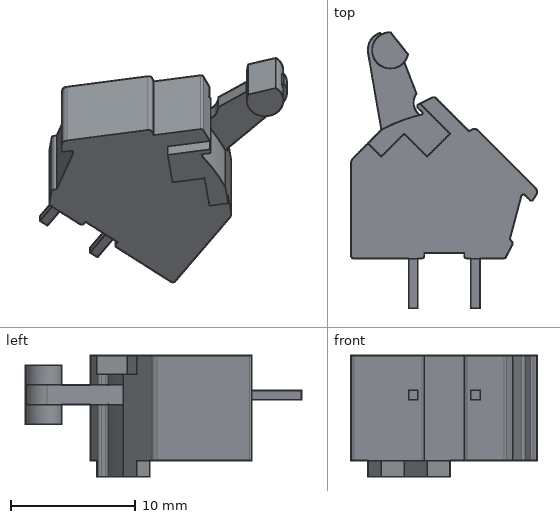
import cadquery as cq
import math

housing_height = 8.48
tab_height = 1.31
pocket_depth = 1.51
lever_bottom = 4.52
lever_thickness = 1.58
knob_height = 4.77

edge_radius = 0.22
small_radius = 0.18
tight_radius = 0.13
step_radius = 0.33
hook_radius = 0.45
left_side_top = 7.9
shoulder_radius = 0.53
lever_seat_left = (2.45, 10.38)
lever_seat_middle = (3.95, 11.07)
lever_seat_right = (5.57, 11.58)
foot_left = 5.92
foot_right = 9.13
foot_recess = 0.45
base_right = 12.45

zigzag_start = (2.45, 8.22)
zigzag_step = 1.85
zigzag_reach = 5.57

knob_center = (3.18, 16.8)
lever_end_center = (2.83, 16.81)
end_radius = 1.47
lever_lean = 10.0
lever_right_top = (4.35, 15.77)
lever_shoulder = (5.3, 13.3)
lever_neck = (5.08, 12.43)
lever_heel = (5.5, 11.62)
lever_root = (3.79, 9.8)
flat_start_angle = 90.0
flat_end_angle = -13.0
lever_tip_angle = 109.0

pin_size = 0.75
pin_length = 4.0
pin_embed = 1.34
pin_height = 5.28
first_pin = 5.03
pin_pitch = 5.0
pin_count = 2


def polar(center, radius, angle):
    """Point on a circle, with the angle in degrees from +X."""
    turn = math.radians(angle)
    return (center[0] + radius * math.cos(turn), center[1] + radius * math.sin(turn))


def add_rounded_corner(path, before, corner, after, radius):
    """Continue a path to a corner and round it with a tangent arc."""
    to_before = math.atan2(before[1] - corner[1], before[0] - corner[0])
    to_after = math.atan2(after[1] - corner[1], after[0] - corner[0])
    half_angle = math.acos(math.cos(to_after - to_before)) / 2
    setback = radius / math.tan(half_angle)
    arc_start = polar(corner, setback, math.degrees(to_before))
    arc_end = polar(corner, setback, math.degrees(to_after))
    bisector = math.atan2(
        math.sin(to_before) + math.sin(to_after),
        math.cos(to_before) + math.cos(to_after),
    )
    arc_middle = polar(corner, radius / math.sin(half_angle) - radius, math.degrees(bisector))
    return path.lineTo(*arc_start).threePointArc(arc_middle, arc_end)


def housing_prism(bottom, height):
    """Housing outline, counter-clockwise, with a curved seat under the lever."""
    corners = [
        (0, left_side_top, shoulder_radius),
        (0, 0, edge_radius),
        (foot_left, 0, edge_radius),
        (foot_left, foot_recess, 0),
        (foot_right, foot_recess, 0),
        (foot_right, 0, edge_radius),
        (base_right, 0, edge_radius),
        (13.1, 1.25, small_radius),
        (12.83, 1.55, 0),
        (13.83, 5.32, small_radius),
        (14.59, 4.57, tight_radius),
        (15.15, 5.43, hook_radius),
        (10.02, 10.55, step_radius),
        (9.53, 10.27, 0),
        (6.73, 13.07, edge_radius),
        (5.21, 12.32, small_radius),
        (5.92, 11.65, tight_radius),
    ]
    points = [lever_seat_left] + [corner[:2] for corner in corners] + [lever_seat_right]
    path = cq.Workplane("XY", origin=(0, 0, bottom)).moveTo(*lever_seat_left)
    for index, (x, y, radius) in enumerate(corners):
        if radius > 0:
            path = add_rounded_corner(path, points[index], (x, y), points[index + 2], radius)
        else:
            path = path.lineTo(x, y)
    path = path.lineTo(*lever_seat_right)
    return path.threePointArc(lever_seat_middle, lever_seat_left).close().extrude(height)


def zigzag_prism(bottom, height):
    """Zigzag region that runs out past the sloping edge of the housing."""
    x, y = zigzag_start
    region = [
        (x - zigzag_reach, y + zigzag_reach),
        (x, y),
        (x + zigzag_step, y + zigzag_step),
        (x + 2 * zigzag_step, y),
        (x + 3 * zigzag_step, y + zigzag_step),
        (x + 3 * zigzag_step - zigzag_reach, y + zigzag_step + zigzag_reach),
    ]
    return cq.Workplane("XY", origin=(0, 0, bottom)).polyline(region).close().extrude(height)


def lever():
    """Flat lever arm rooted inside the housing, with its round end cut by a slant."""
    left_tangent = polar(lever_end_center, end_radius, 180 + lever_lean)
    end_middle = polar(lever_end_center, end_radius, (lever_tip_angle + 180 + lever_lean) / 2)
    tip = polar(lever_end_center, end_radius, lever_tip_angle)
    return (
        cq.Workplane("XY", origin=(0, 0, lever_bottom))
        .moveTo(*lever_seat_left)
        .lineTo(*left_tangent)
        .threePointArc(end_middle, tip)
        .lineTo(*lever_right_top)
        .lineTo(*lever_shoulder)
        .threePointArc(lever_neck, lever_heel)
        .lineTo(*lever_root)
        .close()
        .extrude(lever_thickness)
    )


def knob():
    """Round knob with one flat, centred on the lever thickness."""
    bottom = lever_bottom + (lever_thickness - knob_height) / 2
    far_angle = (flat_start_angle + flat_end_angle) / 2 + 180
    return (
        cq.Workplane("XY", origin=(0, 0, bottom))
        .moveTo(*polar(knob_center, end_radius, flat_start_angle))
        .threePointArc(
            polar(knob_center, end_radius, far_angle),
            polar(knob_center, end_radius, flat_end_angle),
        )
        .close()
        .extrude(knob_height)
    )


def pin(x):
    """Square pin that sticks out of the -Y side and is embedded in the housing."""
    length = pin_length + pin_embed
    return cq.Workplane("XY").box(pin_size, length, pin_size).translate(
        (x, pin_embed - length / 2, pin_height)
    )


pocket = zigzag_prism(housing_height - pocket_depth, pocket_depth)
tab = housing_prism(-tab_height, tab_height).intersect(zigzag_prism(-tab_height, tab_height))

result = housing_prism(0, housing_height).cut(pocket).union(tab).union(lever()).union(knob())
for pin_index in range(pin_count):
    result = result.union(pin(first_pin + pin_index * pin_pitch))